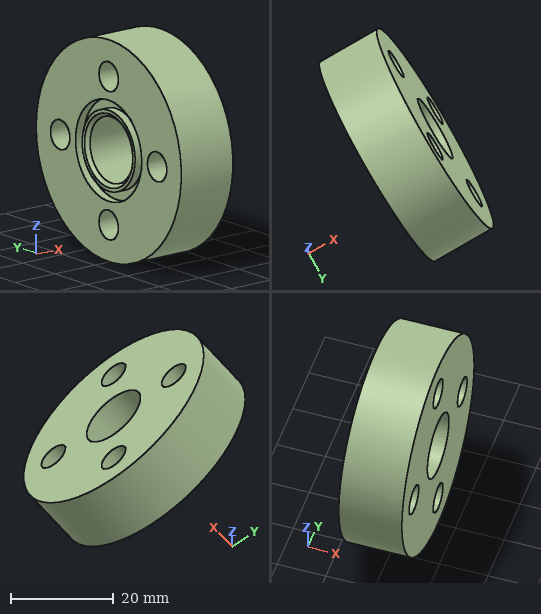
import cadquery as cq

disc_diameter = 45.0
thickness = 13.0

bore_diameter = 13.4
bore_chamfer = 0.75

groove_outer_diameter = 20.48
groove_inner_diameter = 16.4
groove_depth = 2.0

bolt_hole_count = 4
bolt_hole_diameter = 6.0
bolt_circle_diameter = 30.0

front_face_x = -thickness / 2


def front_plane():
    """Work plane on the front face, with its normal pointing into the disc."""
    return cq.Workplane("YZ", origin=(front_face_x, 0, 0))


def make_disc():
    return front_plane().circle(disc_diameter / 2).extrude(thickness)


def make_bore():
    bore = front_plane().circle(bore_diameter / 2).extrude(thickness)
    mouth_radius = bore_diameter / 2 + bore_chamfer
    mouth = front_plane().circle(mouth_radius).extrude(bore_chamfer, taper=45)
    return bore.union(mouth)


def make_groove():
    return (
        front_plane()
        .circle(groove_outer_diameter / 2)
        .circle(groove_inner_diameter / 2)
        .extrude(groove_depth)
    )


def make_bolt_holes():
    return (
        front_plane()
        .polarArray(bolt_circle_diameter / 2, 0, 360, bolt_hole_count)
        .circle(bolt_hole_diameter / 2)
        .extrude(thickness)
    )


result = make_disc().cut(make_bore()).cut(make_groove()).cut(make_bolt_holes())